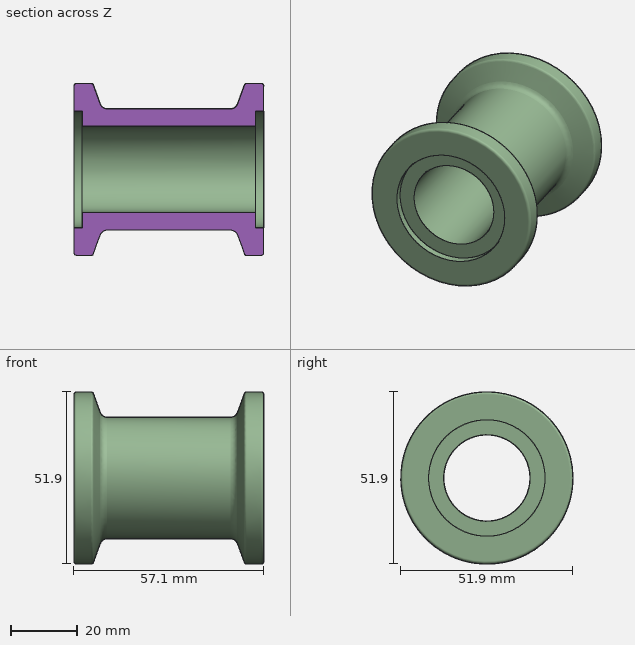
import cadquery as cq
import math

length = 57.15
flange_diameter = 51.85
tube_diameter = 36.6
bore_diameter = 25.9

recess_diameter = 35.05
recess_depth = 2.5

rim_width = 5.7
cone_angle = 20.0
rim_edge_radius = 0.8
neck_radius = 2.2

half_length = length / 2
flange_radius = flange_diameter / 2
tube_radius = tube_diameter / 2
cone_width = (flange_radius - tube_radius) * math.tan(math.radians(cone_angle))
rim_inner_x = half_length - rim_width
cone_foot_x = rim_inner_x - cone_width


def cylinder_along_x(diameter, start_x, depth):
    return cq.Workplane("YZ").workplane(offset=start_x).circle(diameter / 2).extrude(depth)


def circles_at(body, radius, distance):
    """Circular edges of the given radius lying at +/- distance from the middle of the spool."""
    tolerance = 0.005
    edges = [
        edge
        for edge in body.edges("%CIRCLE").vals()
        if abs(edge.radius() - radius) < tolerance
        and abs(abs(edge.Center().x) - distance) < tolerance
    ]
    return body.newObject(edges)


def make_spool():
    """Solid tube with a flange at each end, revolved about X."""
    body = (
        cq.Workplane("XY")
        .moveTo(-half_length, 0)
        .lineTo(-half_length, flange_radius)
        .lineTo(-rim_inner_x, flange_radius)
        .lineTo(-cone_foot_x, tube_radius)
        .lineTo(cone_foot_x, tube_radius)
        .lineTo(rim_inner_x, flange_radius)
        .lineTo(half_length, flange_radius)
        .lineTo(half_length, 0)
        .close()
        .revolve(360, (0, 0, 0), (1, 0, 0))
    )
    body = circles_at(body, tube_radius, cone_foot_x).fillet(neck_radius)
    for rim_edge_x in (half_length, rim_inner_x):
        body = circles_at(body, flange_radius, rim_edge_x).fillet(rim_edge_radius)
    return body


bore = cylinder_along_x(bore_diameter, -half_length, length)
left_recess = cylinder_along_x(recess_diameter, -half_length, recess_depth)
right_recess = cylinder_along_x(recess_diameter, half_length, -recess_depth)

result = make_spool().cut(bore).cut(left_recess).cut(right_recess)